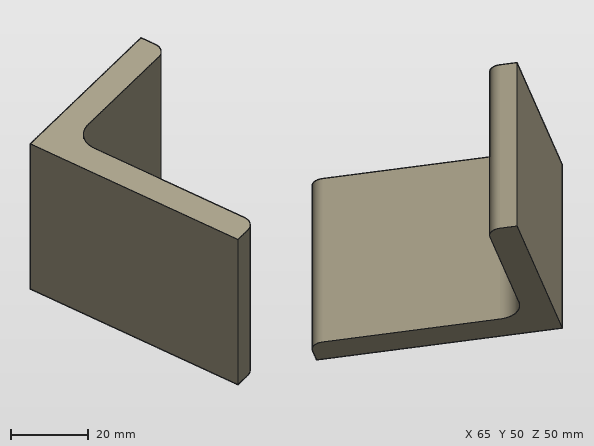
import cadquery as cq

long_leg = 65.0
short_leg = 50.0
length = 50.0
thickness = 8.0
root_radius = 6.5
toe_radius = 3.5

angle = (
    cq.Workplane("XY")
    .polyline([
        (0, 0),
        (long_leg, 0),
        (long_leg, thickness),
        (thickness, thickness),
        (thickness, short_leg),
        (0, short_leg),
    ])
    .close()
    .extrude(length)
)


def round_vertical_edge(body, x, y, radius):
    """Fillet the vertical edge that stands at (x, y)."""
    edge = cq.selectors.NearestToPointSelector((x, y, length / 2))
    return body.edges("|Z").edges(edge).fillet(radius)


angle = round_vertical_edge(angle, thickness, thickness, root_radius)
angle = round_vertical_edge(angle, long_leg, thickness, toe_radius)
result = round_vertical_edge(angle, thickness, short_leg, toe_radius)